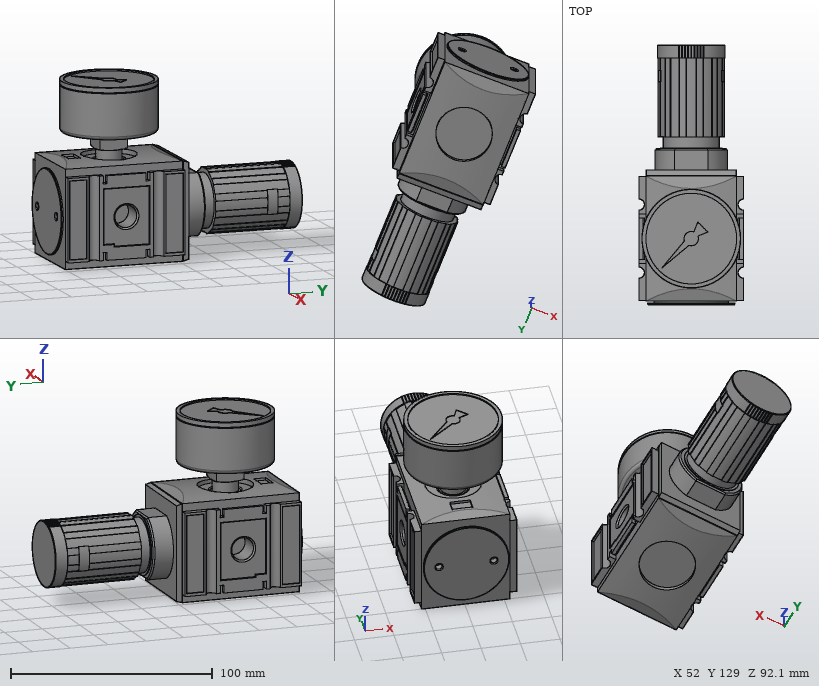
import cadquery as cq
import math


BLOCK_WIDTH = 44.8
BLOCK_HALF_X = BLOCK_WIDTH / 2
BLOCK_HALF_Y = 31.0
BLOCK_HALF_Z = 27.1
CORNER_HALF_Z = 25.4
SLOPE_LENGTH = 6.0
REAR_FLANGE_END_Y = 34.0
SEAM_WIDTH = 0.3
SEAM_DEPTH = 0.3

OVERALL_WIDTH = 52.0
PLATE_OUTER_X = OVERALL_WIDTH / 2
PLATE_HALF_Y = 30.8
PLATE_HALF_Z = 21.4
CLAMP_GROOVE_RADIUS = 2.7
CLAMP_GROOVE_Y = 16.9
PANEL_INNER_Y = 20.8
PANEL_OUTER_Y = 29.9
PANEL_HALF_Z = 20.0
PANEL_DEPTH = 0.9
TONGUE_HALF_WIDTH = 10.3
TONGUE_BACK_X = 24.0
CLIP_HALF_WIDTH = 12.3
CLIP_DEPTH = 4.0
CLIP_RAMP = 0.8
LABEL_HALF_Z = 15.0
LABEL_STEP_Y = -6.6
LABEL_STEP = 1.3
LABEL_DEPTH = 0.4
LABEL_WALL_TAPER = 45.0

PORT_DIAMETER = 11.5
PORT_MOUTH_DIAMETER = 13.2
PORT_DEPTH = 12.9

SEAT_DIAMETER = 28.0
SEAT_Z = 24.5
PORT_DISH_DIAMETER = 16.8
PORT_DISH_FLOOR_DIAMETER = 15.1
PORT_DISH_FLOOR_Z = 24.1
MARK_LENGTH = 10.3
MARK_WIDTH = 6.3
MARK_Y = -20.1
MARK_FLOOR_Z = 25.8

CAP_NECK_DIAMETER = 37.2
CAP_DIAMETER = 43.5
CAP_BACK_Y = -31.9
CAP_FRONT_Y = -32.9
CAP_CHAMFER = 0.4
SPANNER_HOLE_DIAMETER = 3.2
SPANNER_HOLE_MOUTH = 4.3
SPANNER_HOLE_X = 13.9
SPANNER_HOLE_DEPTH = 3.9

BONNET_DIAMETER = 36.0
BONNET_FLAT_HALF_Z = 16.0
BONNET_END_Y = 44.6
BONNET_CHAMFER = 0.8
BONNET_COLLAR_DIAMETER = 30.7
BONNET_COLLAR_END_Y = 45.0
BONNET_NECK_DIAMETER = 28.0

KNOB_START_Y = 50.5
KNOB_RIM_Y = 89.5
OVERALL_LENGTH = 129.0
KNOB_END_Y = CAP_FRONT_Y + OVERALL_LENGTH
KNOB_CORE_RADIUS = 16.3
KNOB_RIB_HEIGHT = 0.45
KNOB_RIB_RADIUS = KNOB_CORE_RADIUS + KNOB_RIB_HEIGHT
KNOB_RIM_RADIUS = 16.9
KNOB_RIM_CHAMFER = 0.4
RIB_COUNT = 12
RIB_ANGLE = 12.6
PAD_START_Y = 77.9
PAD_END_Y = 83.3
PAD_HALF_Z = 6.3
PAD_RADIUS = 16.5
NOTCH_COUNT = 9
NOTCH_PITCH_ANGLE = 5.4
NOTCH_WIDTH = 0.4
NOTCH_DEPTH = 0.4

GAUGE_DIAMETER = 49.0
GAUGE_BOTTOM_Z = 38.6
GAUGE_TOP_Z = 65.0
GAUGE_BOTTOM_FILLET = 1.8
BEZEL_GROOVE_Z = 62.2
BEZEL_GROOVE_WIDTH = 0.5
BEZEL_GROOVE_DEPTH = 0.1
DIAL_DIAMETER = 45.0
DIAL_DEPTH = 0.6
NEEDLE_HEIGHT = 0.3
NEEDLE_HUB_DIAMETER = 7.1
NEEDLE_TIP = 20.5
NEEDLE_TAIL = 8.1
NEEDLE_TAIL_HALF_WIDTH = 3.5
NEEDLE_WAIST_HALF_WIDTH = 1.5
NEEDLE_ANGLE = 45.0
STEM_SQUARE = 14.5
STEM_SQUARE_BOTTOM_Z = 29.9
STEM_CONE_RISE = 0.8
STEM_DIAMETER = 13.2
STEM_BOTTOM_Z = 18.0


def box(x0, x1, y0, y1, z0, z1):
    """Axis-aligned box between the given limits."""
    return cq.Workplane("XY").box(x1 - x0, y1 - y0, z1 - z0, centered=False).translate((x0, y0, z0))


def y_cylinder(radius, y0, y1):
    """Cylinder along the knob axis from y0 to y1."""
    return cq.Workplane("XZ", origin=(0, y0, 0)).circle(radius).extrude(y0 - y1)


def z_cylinder(radius, z0, z1):
    """Cylinder along the gauge axis from z0 to z1."""
    return cq.Workplane("XY").workplane(offset=z0).circle(radius).extrude(z1 - z0)


def on_both_sides(tool):
    """The tool on the -X side together with its mirror image on the +X side."""
    return tool.union(tool.mirror("YZ"))


def arched_block():
    """Block with arched top and bottom, sloping down to both ends and into the rear flange."""
    arched = (
        cq.Workplane("XZ", origin=(0, -BLOCK_HALF_Y, 0))
        .moveTo(-BLOCK_HALF_X, -CORNER_HALF_Z)
        .threePointArc((0, -BLOCK_HALF_Z), (BLOCK_HALF_X, -CORNER_HALF_Z))
        .lineTo(BLOCK_HALF_X, CORNER_HALF_Z)
        .threePointArc((0, BLOCK_HALF_Z), (-BLOCK_HALF_X, CORNER_HALF_Z))
        .close()
        .extrude(-(BLOCK_HALF_Y + REAR_FLANGE_END_Y))
    )
    slope = (BLOCK_HALF_Z - CORNER_HALF_Z) / SLOPE_LENGTH
    rear_half_z = CORNER_HALF_Z - slope * (REAR_FLANGE_END_Y - BLOCK_HALF_Y)
    crown_y = BLOCK_HALF_Y - SLOPE_LENGTH
    side_profile = (
        cq.Workplane("YZ", origin=(-BLOCK_HALF_X, 0, 0))
        .polyline([
            (-BLOCK_HALF_Y, -CORNER_HALF_Z),
            (-crown_y, -BLOCK_HALF_Z),
            (crown_y, -BLOCK_HALF_Z),
            (REAR_FLANGE_END_Y, -rear_half_z),
            (REAR_FLANGE_END_Y, rear_half_z),
            (crown_y, BLOCK_HALF_Z),
            (-crown_y, BLOCK_HALF_Z),
            (-BLOCK_HALF_Y, CORNER_HALF_Z),
        ])
        .close()
        .extrude(2 * BLOCK_HALF_X)
    )
    return arched.intersect(side_profile)


def flange_seam():
    """Shallow groove around the block, in front of the rear flange."""
    outside = box(
        -PLATE_OUTER_X, PLATE_OUTER_X,
        BLOCK_HALF_Y, BLOCK_HALF_Y + SEAM_WIDTH,
        -BLOCK_HALF_Z, BLOCK_HALF_Z,
    )
    core_half_x = BLOCK_HALF_X - SEAM_DEPTH
    core_half_z = CORNER_HALF_Z - SEAM_DEPTH
    core = box(
        -core_half_x, core_half_x,
        BLOCK_HALF_Y, BLOCK_HALF_Y + SEAM_WIDTH,
        -core_half_z, core_half_z,
    )
    return outside.cut(core)


def clip_cut():
    """Gap behind the upper clip tongue with the slot on each side of it, on the -X side."""
    floor_z = PLATE_HALF_Z - CLIP_DEPTH
    cut = (
        cq.Workplane("XZ", origin=(0, CLIP_HALF_WIDTH, 0))
        .polyline([
            (-BLOCK_HALF_X, PLATE_HALF_Z),
            (-BLOCK_HALF_X, floor_z),
            (-TONGUE_BACK_X + CLIP_RAMP, floor_z),
            (-TONGUE_BACK_X, floor_z + CLIP_RAMP),
            (-TONGUE_BACK_X, PLATE_HALF_Z),
        ])
        .close()
        .extrude(2 * CLIP_HALF_WIDTH)
    )
    for y0, y1 in ((TONGUE_HALF_WIDTH, CLIP_HALF_WIDTH), (-CLIP_HALF_WIDTH, -TONGUE_HALF_WIDTH)):
        cut = cut.union(box(-PLATE_OUTER_X, -BLOCK_HALF_X, y0, y1, floor_z, PLATE_HALF_Z))
    return cut


def label_recess():
    """Shallow recess around the port on the -X side, stepped at one lower corner."""
    return (
        cq.Workplane("YZ", origin=(-PLATE_OUTER_X, 0, 0))
        .polyline([
            (CLIP_HALF_WIDTH, LABEL_HALF_Z),
            (-CLIP_HALF_WIDTH, LABEL_HALF_Z),
            (-CLIP_HALF_WIDTH, -LABEL_HALF_Z + LABEL_STEP),
            (LABEL_STEP_Y, -LABEL_HALF_Z + LABEL_STEP),
            (LABEL_STEP_Y, -LABEL_HALF_Z),
            (CLIP_HALF_WIDTH, -LABEL_HALF_Z),
        ])
        .close()
        .extrude(LABEL_DEPTH, taper=LABEL_WALL_TAPER)
    )


def side_plate():
    """Plate on the -X side with clamp grooves, framed panels, clip tongues and label recess."""
    plate = box(
        -PLATE_OUTER_X, -BLOCK_HALF_X, -PLATE_HALF_Y, PLATE_HALF_Y, -PLATE_HALF_Z, PLATE_HALF_Z
    )
    for side in (-1, 1):
        groove = (
            cq.Workplane("XY", origin=(-PLATE_OUTER_X, side * CLAMP_GROOVE_Y, -PLATE_HALF_Z))
            .circle(CLAMP_GROOVE_RADIUS)
            .extrude(2 * PLATE_HALF_Z)
        )
        y0, y1 = sorted((side * PANEL_INNER_Y, side * PANEL_OUTER_Y))
        panel = box(
            -PLATE_OUTER_X, -PLATE_OUTER_X + PANEL_DEPTH, y0, y1, -PANEL_HALF_Z, PANEL_HALF_Z
        )
        plate = plate.cut(groove).cut(panel)
    upper_clip = clip_cut()
    return plate.cut(upper_clip).cut(upper_clip.mirror("XY")).cut(label_recess())


def port_bore():
    """Blind side port on the -X side with a chamfered mouth."""
    mouth_x = -PLATE_OUTER_X + LABEL_DEPTH
    chamfer = (PORT_MOUTH_DIAMETER - PORT_DIAMETER) / 2
    return (
        cq.Workplane("XY")
        .polyline([
            (mouth_x, 0),
            (mouth_x, PORT_MOUTH_DIAMETER / 2),
            (mouth_x + chamfer, PORT_DIAMETER / 2),
            (mouth_x + PORT_DEPTH, PORT_DIAMETER / 2),
            (mouth_x + PORT_DEPTH, 0),
        ])
        .close()
        .revolve(360, (0, 0, 0), (1, 0, 0))
    )


def gauge_seat_cuts():
    """Flat seats on top and bottom, and the gauge port with a shallow conical dish at its mouth."""
    seat = z_cylinder(SEAT_DIAMETER / 2, SEAT_Z, BLOCK_HALF_Z)
    dish = (
        cq.Workplane("XZ")
        .polyline([
            (0, SEAT_Z),
            (PORT_DISH_DIAMETER / 2, SEAT_Z),
            (PORT_DISH_FLOOR_DIAMETER / 2, PORT_DISH_FLOOR_Z),
            (0, PORT_DISH_FLOOR_Z),
        ])
        .close()
        .revolve(360, (0, 0, 0), (0, 1, 0))
    )
    bore = z_cylinder(STEM_DIAMETER / 2, STEM_BOTTOM_Z, PORT_DISH_FLOOR_Z)
    return seat.union(seat.mirror("XY")).union(dish).union(bore)


def marking_recess():
    """Rectangular recess in the top face, in front of the gauge."""
    return box(
        -MARK_LENGTH / 2, MARK_LENGTH / 2,
        MARK_Y - MARK_WIDTH / 2, MARK_Y + MARK_WIDTH / 2,
        MARK_FLOOR_Z, BLOCK_HALF_Z,
    )


def front_cap():
    """Round cap on a short neck at the front."""
    neck = y_cylinder(CAP_NECK_DIAMETER / 2, CAP_BACK_Y, -BLOCK_HALF_Y)
    disc = y_cylinder(CAP_DIAMETER / 2, CAP_FRONT_Y, CAP_BACK_Y).faces("<Y").chamfer(CAP_CHAMFER)
    return neck.union(disc)


def spanner_hole(x):
    """Blind spanner hole in the front cap with a chamfered mouth."""
    mouth_chamfer = (SPANNER_HOLE_MOUTH - SPANNER_HOLE_DIAMETER) / 2
    hole_end_y = CAP_FRONT_Y + SPANNER_HOLE_DEPTH
    return (
        cq.Workplane("XY", origin=(x, 0, 0))
        .polyline([
            (0, CAP_FRONT_Y),
            (SPANNER_HOLE_MOUTH / 2, CAP_FRONT_Y),
            (SPANNER_HOLE_DIAMETER / 2, CAP_FRONT_Y + mouth_chamfer),
            (SPANNER_HOLE_DIAMETER / 2, hole_end_y),
            (0, hole_end_y),
        ])
        .close()
        .revolve(360, (0, 0, 0), (0, 1, 0))
    )


def bonnet():
    """Round bonnet with a flat on top and bottom, a low collar and the neck that carries the knob."""
    radius = BONNET_DIAMETER / 2
    body = y_cylinder(radius, REAR_FLANGE_END_Y, BONNET_END_Y)
    flats = box(
        -radius, radius, REAR_FLANGE_END_Y, BONNET_END_Y, -BONNET_FLAT_HALF_Z, BONNET_FLAT_HALF_Z
    )
    neck = y_cylinder(BONNET_NECK_DIAMETER / 2, BONNET_END_Y, KNOB_START_Y)
    body = body.intersect(flats).faces(">Y").chamfer(BONNET_CHAMFER)
    collar = y_cylinder(BONNET_COLLAR_DIAMETER / 2, BONNET_END_Y, BONNET_COLLAR_END_Y)
    return body.union(collar).union(neck)


def make_housing():
    housing = arched_block().cut(flange_seam())
    housing = housing.union(on_both_sides(side_plate()))
    housing = housing.union(front_cap()).union(bonnet())
    housing = housing.cut(on_both_sides(port_bore()))
    housing = housing.cut(gauge_seat_cuts()).cut(marking_recess())
    for x in (-SPANNER_HOLE_X, SPANNER_HOLE_X):
        housing = housing.cut(spanner_hole(x))
    return housing


def knob_rib(angle):
    """Low rib along the knob, bounded by two radial planes."""
    half = math.radians(RIB_ANGLE / 2)
    reach = 2 * KNOB_RIB_RADIUS
    wedge = (
        cq.Workplane("XZ", origin=(0, KNOB_START_Y, 0))
        .polyline([
            (0, 0),
            (reach * math.cos(half), -reach * math.sin(half)),
            (reach * math.cos(half), reach * math.sin(half)),
        ])
        .close()
        .extrude(KNOB_START_Y - KNOB_RIM_Y)
    )
    full_round = y_cylinder(KNOB_RIB_RADIUS, KNOB_START_Y, KNOB_RIM_Y)
    return wedge.rotate((0, 0, 0), (0, 1, 0), angle).intersect(full_round)


def pad_window():
    """Block on the -X side that bounds one pad."""
    return box(
        -2 * KNOB_RIB_RADIUS, -KNOB_CORE_RADIUS / 2, PAD_START_Y, PAD_END_Y, -PAD_HALF_Z, PAD_HALF_Z
    )


def rim_notch(angle):
    """Grip notch across the rim; angle 0 is at the top."""
    notch = box(
        -NOTCH_WIDTH / 2, NOTCH_WIDTH / 2,
        KNOB_RIM_Y, KNOB_END_Y,
        KNOB_RIM_RADIUS - NOTCH_DEPTH, KNOB_RIM_RADIUS + NOTCH_DEPTH,
    )
    return notch.rotate((0, 0, 0), (0, 1, 0), angle)


def make_knob():
    knob = y_cylinder(KNOB_CORE_RADIUS, KNOB_START_Y, KNOB_RIM_Y)
    rib_pitch = 360 / RIB_COUNT
    for i in range(RIB_COUNT):
        knob = knob.union(knob_rib((i + 0.5) * rib_pitch))
    rim = y_cylinder(KNOB_RIM_RADIUS, KNOB_RIM_Y, KNOB_END_Y).faces(">Y").chamfer(KNOB_RIM_CHAMFER)
    for patch_angle in (0, 180):
        for i in range(NOTCH_COUNT):
            offset = (i - (NOTCH_COUNT - 1) / 2) * NOTCH_PITCH_ANGLE
            rim = rim.cut(rim_notch(patch_angle + offset))
    pad_windows = on_both_sides(pad_window())
    pads = y_cylinder(PAD_RADIUS, PAD_START_Y, PAD_END_Y).intersect(pad_windows)
    return knob.cut(pad_windows).union(pads).union(rim)


def gauge_stem():
    """Square stem with a conical lower edge, above the round end that enters the housing."""
    half = STEM_SQUARE / 2
    corner_radius = half * math.sqrt(2)
    square = box(-half, half, -half, half, STEM_SQUARE_BOTTOM_Z, GAUGE_BOTTOM_Z)
    envelope = (
        cq.Workplane("XZ")
        .polyline([
            (0, STEM_SQUARE_BOTTOM_Z),
            (half, STEM_SQUARE_BOTTOM_Z),
            (corner_radius, STEM_SQUARE_BOTTOM_Z + STEM_CONE_RISE),
            (corner_radius, GAUGE_BOTTOM_Z),
            (0, GAUGE_BOTTOM_Z),
        ])
        .close()
        .revolve(360, (0, 0, 0), (0, 1, 0))
    )
    round_end = z_cylinder(STEM_DIAMETER / 2, STEM_BOTTOM_Z, STEM_SQUARE_BOTTOM_Z)
    return square.intersect(envelope).union(round_end)


def gauge_needle():
    """Pointer with a round hub and a flared tail, lying on the dial."""
    dial_z = GAUGE_TOP_Z - DIAL_DEPTH
    hub = z_cylinder(NEEDLE_HUB_DIAMETER / 2, dial_z, dial_z + NEEDLE_HEIGHT)
    pointer = (
        cq.Workplane("XY", origin=(0, 0, dial_z))
        .polyline([
            (-NEEDLE_TIP, 0),
            (-NEEDLE_HUB_DIAMETER / 2, NEEDLE_WAIST_HALF_WIDTH),
            (NEEDLE_HUB_DIAMETER / 2, NEEDLE_WAIST_HALF_WIDTH),
            (NEEDLE_TAIL, NEEDLE_TAIL_HALF_WIDTH),
            (NEEDLE_TAIL, -NEEDLE_TAIL_HALF_WIDTH),
            (NEEDLE_HUB_DIAMETER / 2, -NEEDLE_WAIST_HALF_WIDTH),
            (-NEEDLE_HUB_DIAMETER / 2, -NEEDLE_WAIST_HALF_WIDTH),
        ])
        .close()
        .extrude(NEEDLE_HEIGHT)
    )
    return hub.union(pointer).rotate((0, 0, 0), (0, 0, 1), NEEDLE_ANGLE)


def make_gauge():
    radius = GAUGE_DIAMETER / 2
    case = z_cylinder(radius, GAUGE_BOTTOM_Z, GAUGE_TOP_Z).faces("<Z").edges().fillet(GAUGE_BOTTOM_FILLET)
    groove_top = BEZEL_GROOVE_Z + BEZEL_GROOVE_WIDTH
    bezel_groove = z_cylinder(radius, BEZEL_GROOVE_Z, groove_top).cut(
        z_cylinder(radius - BEZEL_GROOVE_DEPTH, BEZEL_GROOVE_Z, groove_top)
    )
    dial_recess = z_cylinder(DIAL_DIAMETER / 2, GAUGE_TOP_Z - DIAL_DEPTH, GAUGE_TOP_Z)
    return case.cut(bezel_groove).cut(dial_recess).union(gauge_needle()).union(gauge_stem())


housing = make_housing().solids()
knob = make_knob().solids()
gauge = make_gauge().solids()

result = cq.Compound.makeCompound([housing.val(), knob.val(), gauge.val()])